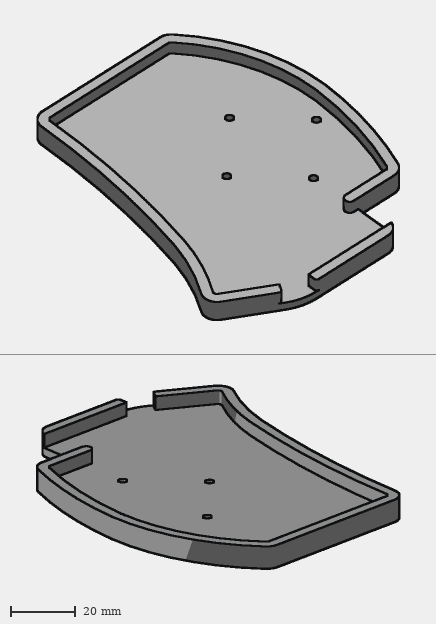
import cadquery as cq
import math

floor_thickness = 3.0
total_height = 7.6
wall_height = total_height - floor_thickness

corner_radius = 5.0
wall_thickness = 3.7
pocket_corner_radius = corner_radius - wall_thickness

length_x = 114.74
width_y = 94.36

core_left = corner_radius
core_right = length_x - corner_radius
core_top = width_y - corner_radius
left_bottom_y = 22.15
left_top_y = 72.0
crown_x = 50.6
crown_left_radius = 66.5
crown_right_radius = 123.0
step_x = 90.85
crown_end_y = 81.35
step_y = 61.15
tip_x = 97.3
tip_y = corner_radius
knee_x = 74.1
knee_y = 14.7
long_hollow_radius = 315.0
short_hollow_radius = 77.0

slant_angle = math.radians(60)
slant_run = (math.cos(slant_angle), math.sin(slant_angle))
slant_out = (math.sin(slant_angle), -math.cos(slant_angle))
blend_radius = 16.0
blend_tangent = blend_radius * math.tan((math.pi / 2 - slant_angle) / 2)
slant_corner_y = tip_y + (core_right - tip_x) * math.tan(slant_angle)
blend_top_y = slant_corner_y + blend_tangent
blend_low_x = core_right - blend_tangent * slant_run[0]
blend_low_y = slant_corner_y - blend_tangent * slant_run[1]

outer_step_x = step_x + corner_radius
outer_step_y = step_y + corner_radius
right_wall_inner_x = length_x - wall_thickness
slant_wall_length = 19.5
wall_end_radius = 1.0

hole_diameter = 2.75
hole_circle_radius = 19.0
hole_circle_center = (57.05, 65.8)
hole_count = 4


def grown_core(growth, height):
    """Prism of the core outline grown outward, with rounded corners."""
    return (
        cq.Workplane("XY")
        .moveTo(core_left, left_bottom_y)
        .lineTo(core_left, left_top_y)
        .radiusArc((crown_x, core_top), crown_left_radius)
        .radiusArc((step_x, crown_end_y), crown_right_radius)
        .lineTo(step_x, step_y)
        .lineTo(core_right, step_y)
        .lineTo(core_right, blend_top_y)
        .radiusArc((blend_low_x, blend_low_y), blend_radius)
        .lineTo(tip_x, tip_y)
        .radiusArc((knee_x, knee_y), -short_hollow_radius)
        .radiusArc((core_left, left_bottom_y), -long_hollow_radius)
        .close()
        .offset2D(growth)
        .extrude(height)
    )


def slant_point(along, outward):
    """Point measured from the tip, along the slanted side and outward from it."""
    return (
        tip_x + along * slant_run[0] + outward * slant_out[0],
        tip_y + along * slant_run[1] + outward * slant_out[1],
    )


def step_opening():
    """Removes the wall along the step, between the two vertical walls."""
    end_y = outer_step_y - wall_thickness / 2
    low_y = outer_step_y - 2 * wall_thickness
    opening = (
        cq.Workplane("XY")
        .moveTo(outer_step_x, outer_step_y)
        .lineTo(outer_step_x, end_y)
        .lineTo(outer_step_x - wall_thickness, end_y)
        .lineTo(outer_step_x - wall_thickness, low_y)
        .lineTo(right_wall_inner_x, low_y)
        .lineTo(right_wall_inner_x, outer_step_y)
        .close()
        .extrude(wall_height)
    )
    rounded_end = (
        cq.Workplane("XY")
        .center(outer_step_x - wall_thickness / 2, end_y)
        .circle(wall_thickness / 2)
        .extrude(wall_height)
    )
    return opening.cut(rounded_end)


def blend_opening():
    """Removes the wall around the blend at the lower right."""
    return (
        cq.Workplane("XY")
        .polyline([
            (core_right, blend_top_y),
            (length_x + wall_thickness, blend_top_y),
            slant_point(slant_wall_length, 2 * corner_radius),
            slant_point(slant_wall_length, 0),
        ])
        .close()
        .extrude(wall_height)
    )


def wall():
    ring = grown_core(corner_radius, wall_height).cut(grown_core(pocket_corner_radius, wall_height))
    ring = ring.cut(step_opening()).cut(blend_opening())
    outer_ends = [
        (length_x, blend_top_y),
        slant_point(slant_wall_length, corner_radius),
    ]
    for x, y in outer_ends:
        nearest = cq.selectors.NearestToPointSelector((x, y, wall_height / 2))
        ring = ring.edges(nearest).fillet(wall_end_radius)
    return ring.translate((0, 0, floor_thickness))


def floor():
    holes = (
        cq.Workplane("XY")
        .center(*hole_circle_center)
        .polarArray(hole_circle_radius, 0, 360, hole_count)
        .circle(hole_diameter / 2)
        .extrude(floor_thickness)
    )
    return grown_core(corner_radius, floor_thickness).cut(holes)


result = floor().union(wall())